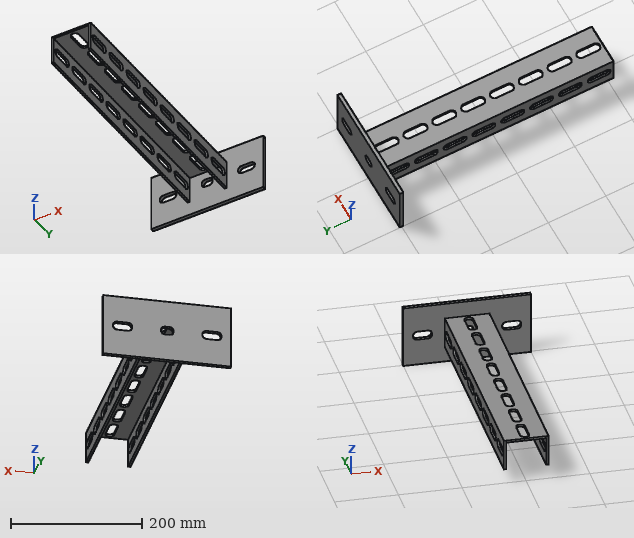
import cadquery as cq

TOTAL_DEPTH = 406.5

PLATE_WIDTH = 200.0
PLATE_HEIGHT = PLATE_WIDTH / 2
PLATE_THICKNESS = 6.5
PLATE_FRONT = -PLATE_THICKNESS
PLATE_SLOT_OFFSET = 70.0
OUTER_SLOT_LENGTH = 30.0
MIDDLE_SLOT_LENGTH = 20.0

ARM_LENGTH = TOTAL_DEPTH - PLATE_THICKNESS
ARM_WIDTH = 70.0
ARM_HEIGHT = PLATE_HEIGHT / 2
ARM_WALL = 3.9
ARM_SLOT_LENGTH = 40.0
ARM_SLOT_COUNT = 8
ARM_SLOT_PITCH = ARM_LENGTH / ARM_SLOT_COUNT

SLOT_WIDTH = 14.0


def make_plate():
    """Rectangular plate with a short slot in the middle and a longer slot on each side."""
    plate = cq.Workplane("XZ").rect(PLATE_WIDTH, PLATE_HEIGHT).extrude(PLATE_THICKNESS)
    slots = (
        (-PLATE_SLOT_OFFSET, OUTER_SLOT_LENGTH),
        (0, MIDDLE_SLOT_LENGTH),
        (PLATE_SLOT_OFFSET, OUTER_SLOT_LENGTH),
    )
    for x, length in slots:
        slot = cq.Workplane("XZ").center(x, 0).slot2D(length, SLOT_WIDTH).extrude(PLATE_THICKNESS)
        plate = plate.cut(slot)
    return plate


def make_channel():
    """Plain U-section: a web on top and a flange down each side."""
    start = cq.Workplane("XZ", origin=(0, PLATE_FRONT, 0))
    outside = start.rect(ARM_WIDTH, ARM_HEIGHT).extrude(ARM_LENGTH)
    inside_width = ARM_WIDTH - 2 * ARM_WALL
    inside = start.center(0, -ARM_WALL).rect(inside_width, ARM_HEIGHT).extrude(ARM_LENGTH)
    return outside.cut(inside)


def make_arm():
    """Channel with a row of evenly spaced slots in its web and in both flanges."""
    arm = make_channel()
    for index in range(ARM_SLOT_COUNT):
        y = PLATE_FRONT - (index + 0.5) * ARM_SLOT_PITCH
        web_slot = (
            cq.Workplane("XY", origin=(0, y, 0))
            .slot2D(ARM_SLOT_LENGTH, SLOT_WIDTH, angle=90)
            .extrude(ARM_HEIGHT)
        )
        flange_slots = (
            cq.Workplane("YZ", origin=(0, y, 0))
            .slot2D(ARM_SLOT_LENGTH, SLOT_WIDTH)
            .extrude(ARM_WIDTH, both=True)
        )
        arm = arm.cut(web_slot).cut(flange_slots)
    return arm


plate = make_plate()
arm = make_arm()
result = cq.Compound.makeCompound([plate.solids().val(), arm.solids().val()])